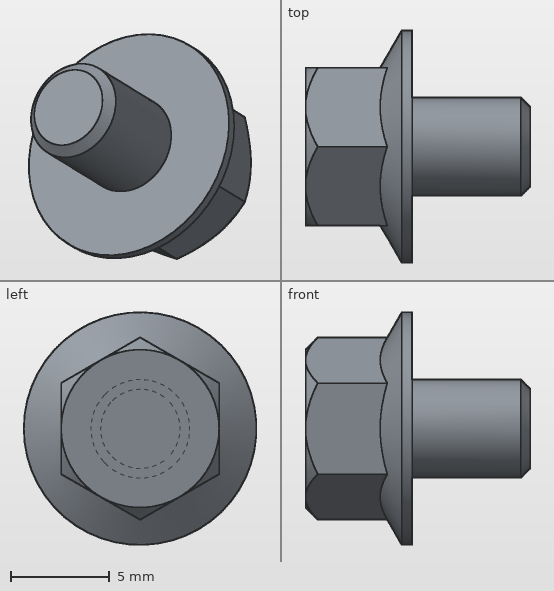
import cadquery as cq
import math

shank_diameter = 5.0
shank_length = 6.0
shank_chamfer = 0.49

flange_diameter = 11.8
flange_rim_thickness = 0.52
flange_cone_angle = 30.0

head_height = 5.4
across_flats = 8.0
head_chamfer_angle = 45.0

across_corners = across_flats / math.cos(math.radians(30))


def revolve_about_x(points):
    """Revolve a closed (x, radius) outline about the X axis."""
    return cq.Workplane("XY").polyline(points).close().revolve(360, (0, 0, 0), (1, 0, 0))


def make_shank():
    radius = shank_diameter / 2
    return revolve_about_x([
        (-flange_rim_thickness, 0),
        (-flange_rim_thickness, radius),
        (shank_length - shank_chamfer, radius),
        (shank_length, radius - shank_chamfer),
        (shank_length, 0),
    ])


def make_flange():
    """Thin cylindrical rim with a cone that ends inside the hexagon."""
    rim_radius = flange_diameter / 2
    cone_top_radius = shank_diameter / 2
    cone_height = (rim_radius - cone_top_radius) * math.tan(math.radians(flange_cone_angle))
    cone_top = -flange_rim_thickness - cone_height
    return revolve_about_x([
        (0, 0),
        (0, rim_radius),
        (-flange_rim_thickness, rim_radius),
        (cone_top, cone_top_radius),
        (cone_top, 0),
    ])


def make_hex_head():
    """Hexagon with corners on +Z and -Z, chamfered down to a circle touching the flats."""
    prism = (
        cq.Workplane("YZ")
        .polygon(6, across_corners)
        .extrude(-head_height)
        .rotate((0, 0, 0), (1, 0, 0), 90)
    )
    top_radius = across_flats / 2
    base_radius = top_radius + head_height / math.tan(math.radians(head_chamfer_angle))
    chamfer_cone = revolve_about_x([
        (0, 0),
        (0, base_radius),
        (-head_height, top_radius),
        (-head_height, 0),
    ])
    return prism.intersect(chamfer_cone)


result = make_hex_head().union(make_flange()).union(make_shank())